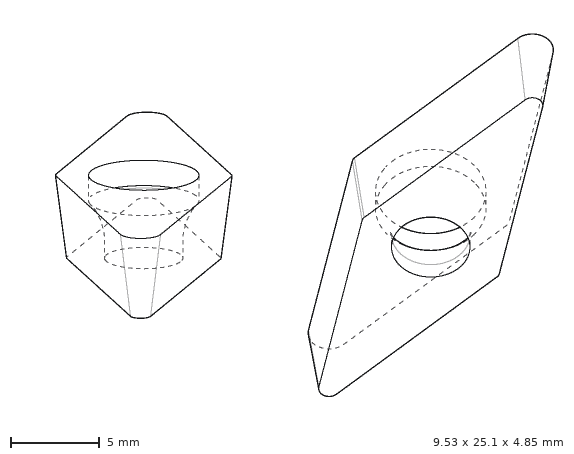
import cadquery as cq
import math

width = 9.53
length = 25.1
thickness = 4.85
nose_angle = 35.0
clearance_angle = 7.0
blunt_corner_radius = 0.4

bore_radius = 2.2
recess_radius = 3.1
recess_depth = 1.48
ledge_size = 0.113
seat_start_angle = 40.0

half_width = width / 2
half_angle = math.radians(nose_angle / 2)
sharp_tip_y = half_width / math.tan(half_angle)
blunt_corner_y = half_width * math.tan(half_angle)
nose_radius = (sharp_tip_y - length / 2) / (1 / math.tan(half_angle) - 1)


def make_body():
    """Rhombus tapered downward, with conical noses and rounded blunt corners."""
    corners = [
        (-half_width, sharp_tip_y),
        (-half_width, -blunt_corner_y),
        (half_width, -sharp_tip_y),
        (half_width, blunt_corner_y),
    ]
    rhombus = cq.Sketch().polygon(corners + corners[:1])
    outline = rhombus.vertices(">Y or <Y").fillet(nose_radius)
    body = cq.Workplane("XY").placeSketch(outline).extrude(-thickness, taper=clearance_angle)
    body = body.translate((0, 0, thickness))

    mid_inset = thickness / 2 * math.tan(math.radians(clearance_angle))
    mid_scale = 1 - mid_inset / half_width
    for side in (-1, 1):
        edge_middle = (side * half_width * mid_scale, side * blunt_corner_y * mid_scale, thickness / 2)
        corner_edge = cq.selectors.NearestToPointSelector(edge_middle)
        body = body.edges(corner_edge).fillet(blunt_corner_radius)
    return body


def make_screw_hole():
    """Revolved cutter: recess, ledge, curved seat running tangent into the bore."""
    seat_rim_radius = recess_radius - ledge_size
    recess_floor_z = thickness - recess_depth
    seat_rim_z = recess_floor_z - ledge_size

    start_angle = math.radians(seat_start_angle)
    seat_radius = (seat_rim_radius - bore_radius) / (1 - math.cos(start_angle))
    seat_end_z = seat_rim_z - seat_radius * math.sin(start_angle)
    arc_middle = (
        bore_radius + seat_radius * (1 - math.cos(start_angle / 2)),
        seat_end_z + seat_radius * math.sin(start_angle / 2),
    )
    profile = (
        cq.Workplane("XZ")
        .moveTo(0, 0)
        .lineTo(bore_radius, 0)
        .lineTo(bore_radius, seat_end_z)
        .threePointArc(arc_middle, (seat_rim_radius, seat_rim_z))
        .lineTo(recess_radius, recess_floor_z)
        .lineTo(recess_radius, thickness)
        .lineTo(0, thickness)
        .close()
    )
    return profile.revolve(360, (0, 0, 0), (0, 1, 0))


result = make_body().cut(make_screw_hole())